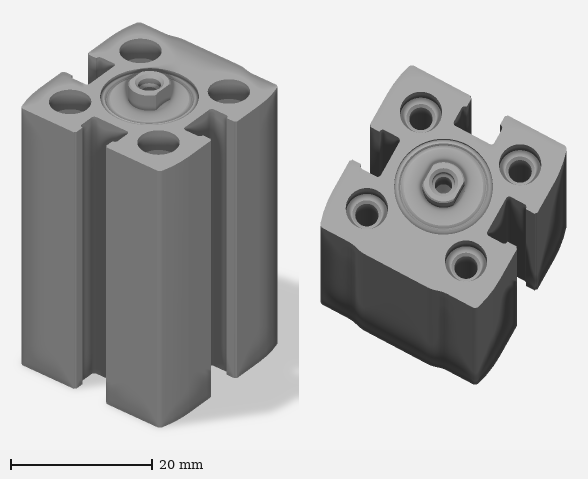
import cadquery as cq
import math

housing_height = 44.5
total_height = 47.0
half_width = 13.5
crown_height = 14.0

side_flat_half = 8.0
side_radius = 17.0
corner_radius = 0.7
crown_outer_half = 8.0
crown_inner_half = 5.0

slot_floor = 8.6
slot_lip = 11.8
slot_half = 3.25
slot_corner_radius = 0.5
mouth_half = 2.7
mouth_radius = 0.25
slot_directions = (0, 180, 270)

mount_pitch = 16.0
mount_diameter = 3.3
mount_chamfer_diameter = 4.13
counterbore_diameter = 6.0
counterbore_depth = 3.4

cap_top = 44.2
cap_radius = 6.0
cap_chamfer_width = 0.38
cap_chamfer_drop = 0.22
ledge_width = 0.15
ridge_radius = 6.37
ridge_drop = 0.2
groove_radius = 7.0
groove_depth = 0.4

rod_radius = 3.0
rod_bottom = 5.0
rod_chamfer = 0.2
flat_half = 2.5
flat_runout = 0.2
thread_chamfer_radius = 4.13 / 2
thread_radius = 3.24 / 2
thread_depth = 1.3
pilot_radius = 2.46 / 2
pilot_depth = 6.0
drill_point_angle = 118.0


def revolve_profile(points):
    """Turn a closed (radius, height) outline about the Z axis."""
    return cq.Workplane("XZ").polyline(points).close().revolve(360, (0, 0, 0), (0, 1, 0))


def side_bulge_x(y):
    """Half width of the housing at a height y above the centre line, beyond the end of the side flat."""
    return half_width - side_radius + math.sqrt(side_radius**2 - (y - side_flat_half) ** 2)


def make_extrusion():
    """Housing section without slots or holes, its four corners rounded."""
    corner_x = side_bulge_x(half_width)
    bulge_mid_y = (side_flat_half + half_width) / 2
    bulge_mid_x = side_bulge_x(bulge_mid_y)
    block = (
        cq.Workplane("XY")
        .moveTo(half_width, -side_flat_half)
        .lineTo(half_width, side_flat_half)
        .threePointArc((bulge_mid_x, bulge_mid_y), (corner_x, half_width))
        .lineTo(-corner_x, half_width)
        .threePointArc((-bulge_mid_x, bulge_mid_y), (-half_width, side_flat_half))
        .lineTo(-half_width, -side_flat_half)
        .threePointArc((-bulge_mid_x, -bulge_mid_y), (-corner_x, -half_width))
        .lineTo(corner_x, -half_width)
        .threePointArc((bulge_mid_x, -bulge_mid_y), (half_width, -side_flat_half))
        .close()
        .extrude(housing_height)
    )
    corner_edges = block.edges("|Z").edges(">Y or <Y")
    return corner_edges.fillet(corner_radius).union(make_crown())


def make_crown():
    """Raised strip on the back face, blended in at both ends by S-curves."""
    middle_half = (crown_outer_half + crown_inner_half) / 2
    middle_height = (half_width + crown_height) / 2
    run = crown_outer_half - middle_half
    rise = middle_height - half_width
    blend_radius = (run**2 + rise**2) / (2 * rise)
    return (
        cq.Workplane("XY")
        .moveTo(-crown_outer_half, half_width)
        .radiusArc((-middle_half, middle_height), -blend_radius)
        .radiusArc((-crown_inner_half, crown_height), blend_radius)
        .lineTo(crown_inner_half, crown_height)
        .radiusArc((middle_half, middle_height), blend_radius)
        .radiusArc((crown_outer_half, half_width), -blend_radius)
        .lineTo(crown_outer_half, slot_lip)
        .lineTo(-crown_outer_half, slot_lip)
        .close()
        .extrude(housing_height)
    )


def make_slot():
    """T-slot cutter opening toward +X, with a rounded chamber and rounded mouth edges."""
    chamber = (
        cq.Workplane("XY")
        .center((slot_floor + slot_lip) / 2, 0)
        .rect(slot_lip - slot_floor, 2 * slot_half)
        .extrude(housing_height)
        .edges("|Z")
        .fillet(slot_corner_radius)
    )
    flare_half = mouth_half + mouth_radius
    flare_start = half_width - mouth_radius
    mouth = (
        cq.Workplane("XY")
        .moveTo(slot_floor + slot_corner_radius, -mouth_half)
        .lineTo(flare_start, -mouth_half)
        .radiusArc((half_width, -flare_half), -mouth_radius)
        .lineTo(half_width, flare_half)
        .radiusArc((flare_start, mouth_half), -mouth_radius)
        .lineTo(slot_floor + slot_corner_radius, mouth_half)
        .close()
        .extrude(housing_height)
    )
    return chamber.union(mouth)


def make_mount_hole():
    """Through hole on the Z axis with a counterbore and a chamfer on the counterbore floor."""
    hole_radius = mount_diameter / 2
    chamfer_radius = mount_chamfer_diameter / 2
    counterbore_radius = counterbore_diameter / 2
    counterbore_floor = housing_height - counterbore_depth
    chamfer_bottom = counterbore_floor - (chamfer_radius - hole_radius)
    return revolve_profile([
        (0, 0),
        (hole_radius, 0),
        (hole_radius, chamfer_bottom),
        (chamfer_radius, counterbore_floor),
        (counterbore_radius, counterbore_floor),
        (counterbore_radius, housing_height),
        (0, housing_height),
    ])


def make_cap_recess():
    """Material removed around the end cap: its sunken face, chamfer and ring groove."""
    ridge_height = housing_height - ridge_drop
    return revolve_profile([
        (0, cap_top),
        (cap_radius - cap_chamfer_width, cap_top),
        (cap_radius, cap_top - cap_chamfer_drop),
        (cap_radius + ledge_width, cap_top - cap_chamfer_drop),
        (ridge_radius, ridge_height),
        (groove_radius, ridge_height - groove_depth),
        (groove_radius, housing_height),
        (0, housing_height),
    ])


def make_housing():
    """Slotted housing with its end cap and a blind bore for the rod."""
    body = make_extrusion()
    for direction in slot_directions:
        body = body.cut(make_slot().rotate((0, 0, 0), (0, 0, 1), direction))
    for x in (-mount_pitch / 2, mount_pitch / 2):
        for y in (-mount_pitch / 2, mount_pitch / 2):
            body = body.cut(make_mount_hole().translate((x, y, 0)))
    body = body.cut(make_cap_recess())
    rod_bore = (
        cq.Workplane("XY")
        .workplane(offset=rod_bottom)
        .circle(rod_radius)
        .extrude(housing_height - rod_bottom)
    )
    return body.cut(rod_bore)


def make_rod_socket():
    """Stepped, chamfered hole in the rod end with a conical drill point."""
    thread_top = total_height - (thread_chamfer_radius - thread_radius)
    thread_floor = total_height - thread_depth
    pilot_top = thread_floor - (thread_radius - pilot_radius)
    pilot_floor = total_height - pilot_depth
    drill_tip = pilot_floor - pilot_radius / math.tan(math.radians(drill_point_angle / 2))
    return revolve_profile([
        (0, drill_tip),
        (pilot_radius, pilot_floor),
        (pilot_radius, pilot_top),
        (thread_radius, thread_floor),
        (thread_radius, thread_top),
        (thread_chamfer_radius, total_height),
        (0, total_height),
    ])


def make_rod():
    """Round rod with two wrench flats on the end that stands out of the cap."""
    shank = revolve_profile([
        (0, rod_bottom),
        (rod_radius, rod_bottom),
        (rod_radius, cap_top),
        (flat_half, cap_top + flat_runout),
        (0, cap_top + flat_runout),
    ])
    tip = (
        cq.Workplane("XY")
        .workplane(offset=cap_top)
        .circle(rod_radius)
        .extrude(total_height - cap_top)
        .faces(">Z")
        .chamfer(rod_chamfer)
    )
    flats = (
        cq.Workplane("XY")
        .workplane(offset=cap_top)
        .rect(2 * flat_half, 2 * rod_radius)
        .extrude(total_height - cap_top)
    )
    return shank.union(tip.intersect(flats)).cut(make_rod_socket())


housing = make_housing()
piston_rod = make_rod()

result = cq.Compound.makeCompound([housing.val(), piston_rod.val()])